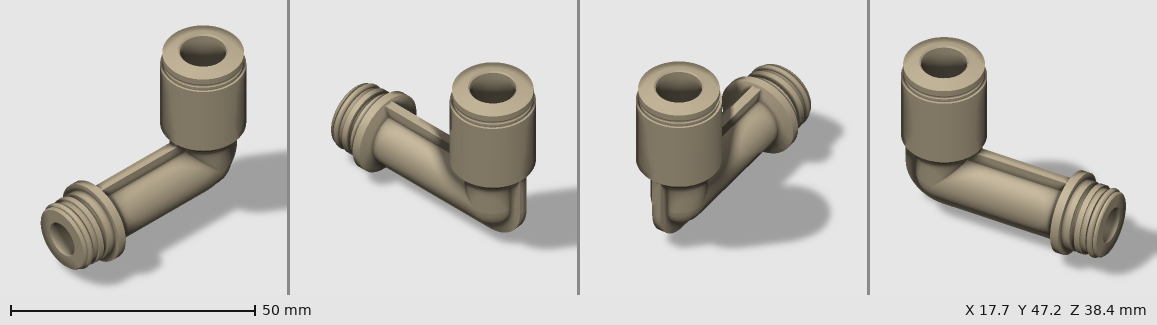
import cadquery as cq

body_diameter = 17.7
body_radius = body_diameter / 2
plug_end = 47.15 - body_radius
socket_top = 38.35 - body_radius

tube_radius = 11.7 / 2
elbow_bore_radius = 6.7 / 2
plug_mouth_radius = 7.7 / 2
tube_bore_radius = 9.52 / 2

cone_bottom = 6.8
body_bottom = 9.8
body_top = 25.85
collar_top = 26.6
button_bottom = 27.45
button_rim_top = 28.85
collar_radius = 16.7 / 2
button_radius = 16.8 / 2
button_neck_radius = 10.95 / 2
neck_flare_bottom = 27.0
neck_flare = 0.25
mouth_chamfer = 0.35

flange_cone_start = 27.65
flange_start = 28.7
flange_end = 30.55
clip_groove_start = 32.4
clip_groove_end = 33.5
land_end = 34.65
seal_groove_start = 35.85
seal_groove_end = 37.6
clip_groove_chamfer = 0.3
end_chamfer = 0.3
land_radius = 14.95 / 2
clip_groove_radius = 13.15 / 2
nose_radius = 14.0 / 2
seal_groove_radius = 11.7 / 2

seal_width = 1.3
seal_centre = 36.75

web_thickness = 2.05
web_reach = 8.3


def revolve_socket(points):
    """Revolve (radius, height) points about the socket axis."""
    return cq.Workplane("XZ").polyline(points).close().revolve(360, (0, 0), (0, 1))


def revolve_plug(points):
    """Revolve (distance, radius) points about the plug axis."""
    profile = [(-distance, radius) for distance, radius in points]
    return cq.Workplane("YZ").polyline(profile).close().revolve(360, (0, 0), (1, 0))


def make_socket():
    return revolve_socket([
        (0, 0),
        (tube_radius, 0),
        (tube_radius, cone_bottom),
        (body_radius, body_bottom),
        (body_radius, body_top),
        (collar_radius, body_top),
        (collar_radius, collar_top),
        (button_neck_radius, collar_top),
        (button_neck_radius, neck_flare_bottom),
        (button_neck_radius + neck_flare, button_bottom),
        (button_radius, button_bottom),
        (button_radius, button_rim_top),
        (tube_bore_radius + mouth_chamfer, socket_top),
        (0, socket_top),
    ])


def make_plug():
    return revolve_plug([
        (0, 0),
        (0, tube_radius),
        (flange_cone_start, tube_radius),
        (flange_start, body_radius),
        (flange_end, body_radius),
        (flange_end, land_radius),
        (clip_groove_start, land_radius),
        (clip_groove_start, clip_groove_radius + clip_groove_chamfer),
        (clip_groove_start + clip_groove_chamfer, clip_groove_radius),
        (clip_groove_end, clip_groove_radius),
        (clip_groove_end, land_radius),
        (land_end, land_radius),
        (land_end, nose_radius),
        (seal_groove_start, nose_radius),
        (seal_groove_start, seal_groove_radius),
        (seal_groove_end, seal_groove_radius),
        (seal_groove_end, nose_radius),
        (plug_end - end_chamfer, nose_radius),
        (plug_end, nose_radius - end_chamfer),
        (plug_end, 0),
    ])


def make_seal():
    half_width = seal_width / 2
    left = -seal_centre - half_width
    right = -seal_centre + half_width
    shoulder = land_radius - half_width
    return (
        cq.Workplane("YZ")
        .moveTo(left, 0)
        .lineTo(left, shoulder)
        .threePointArc((-seal_centre, land_radius), (right, shoulder))
        .lineTo(right, 0)
        .close()
        .revolve(360, (0, 0), (1, 0))
    )


def make_web():
    arc_middle = web_reach * 0.5 ** 0.5
    return (
        cq.Workplane("YZ")
        .moveTo(web_reach, 0)
        .lineTo(web_reach, body_bottom)
        .lineTo(-web_reach, body_bottom)
        .lineTo(-web_reach, web_reach)
        .lineTo(-flange_start, web_reach)
        .lineTo(-flange_start, -web_reach)
        .lineTo(0, -web_reach)
        .threePointArc((arc_middle, -arc_middle), (web_reach, 0))
        .close()
        .extrude(web_thickness / 2, both=True)
    )


def make_passages():
    socket_bore = revolve_socket([
        (0, 0),
        (elbow_bore_radius, 0),
        (elbow_bore_radius, body_bottom),
        (tube_bore_radius, body_bottom),
        (tube_bore_radius, socket_top - mouth_chamfer),
        (tube_bore_radius + mouth_chamfer, socket_top),
        (0, socket_top),
    ])
    plug_bore = revolve_plug([
        (0, 0),
        (0, elbow_bore_radius),
        (plug_end, plug_mouth_radius),
        (plug_end, 0),
    ])
    return socket_bore.union(plug_bore).union(cq.Workplane().sphere(elbow_bore_radius))


elbow = cq.Workplane().sphere(tube_radius)
outside = make_socket().union(make_plug()).union(elbow).union(make_web()).union(make_seal())
result = outside.cut(make_passages())